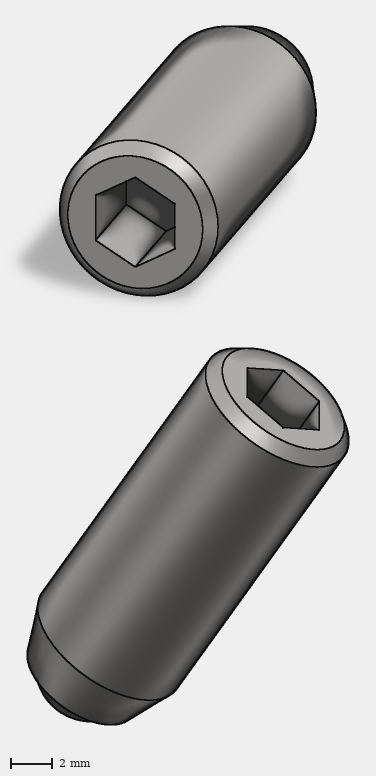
import cadquery as cq

total_length = 21.2
body_diameter = 8.0
rear_chamfer = 0.6
nose_diameter = 6.02
nose_length = 2.73
ball_protrusion = 1.7
ball_diameter = 5.51
hex_across_flats = 4.0
hex_depth = 5.09

body_radius = body_diameter / 2
nose_radius = nose_diameter / 2
body_length = total_length - ball_protrusion
shoulder_y = body_length - nose_length
ball_radius = ball_diameter / 2
ball_center_y = total_length - ball_radius


def make_ball():
    """Full sphere whose tip stands out of the nose."""
    return cq.Workplane("XY").sphere(ball_radius).translate((0, ball_center_y, 0))


def make_hex_socket():
    """Hexagonal prism with corners at +Z and -Z, running in from the rear face."""
    return (
        cq.Workplane("XZ")
        .polygon(6, hex_across_flats, circumscribed=True)
        .extrude(-hex_depth)
    )


def make_housing():
    """Turned body with a chamfered rear and a conical nose, cut for the hex key and the ball."""
    turned = (
        cq.Workplane("XY")
        .polyline([
            (0, 0),
            (body_radius - rear_chamfer, 0),
            (body_radius, rear_chamfer),
            (body_radius, shoulder_y),
            (nose_radius, body_length),
            (0, body_length),
        ])
        .close()
        .revolve(360, (0, 0, 0), (0, 1, 0))
    )
    return turned.cut(make_hex_socket()).cut(make_ball())


housing = make_housing()
ball = make_ball()

result = cq.Compound.makeCompound([housing.val(), ball.val()])